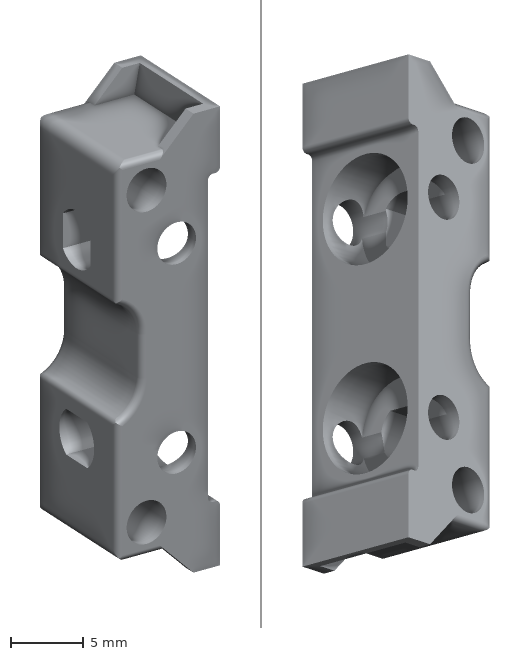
import cadquery as cq
import math

width = 10.0
depth = 8.6
height = 35.1
back_y = depth / 2
front_y = -depth / 2

body_half_height = 15.25
relief_depth = 1.0
foot_height = 5.0
relief_round = 0.4

saddle_depth = 2.0
saddle_flat_half = 1.68
saddle_radius = 3.0

side_round = 0.5
end_round = 1.0
saddle_edge_round = 0.5

wall = 1.0
lip_flat_depth = 2.2
lip_root_drop = 3.0
pocket_back_top = 0.75
pocket_back_root = 1.2

end_hole_diameter = 3.3
end_hole_inset = 2.5
end_hole_z = 12.7
inner_hole_diameter = 3.2
inner_hole_depth = 3.6
inner_hole_z = 8.0

keyed_hole_diameter = 4.4
keyed_hole_flats = 3.5
keyed_hole_z = 7.6
recess_diameter = width - 2 * wall
recess_floor_depth = 5.0


def make_block():
    """Plain block with the saddle groove across its front, all edges sharp."""
    saddle_sweep = math.acos((saddle_radius - saddle_depth) / saddle_radius)
    floor_y = front_y + saddle_depth

    def saddle_arc_point(angle):
        y = floor_y - saddle_radius * (1 - math.cos(angle))
        z = saddle_flat_half + saddle_radius * math.sin(angle)
        return y, z

    middle_y, middle_z = saddle_arc_point(saddle_sweep / 2)
    rim_z = saddle_arc_point(saddle_sweep)[1]
    return (
        cq.Workplane("YZ")
        .moveTo(back_y, -body_half_height)
        .lineTo(front_y, -body_half_height)
        .lineTo(front_y, -rim_z)
        .threePointArc((middle_y, -middle_z), (floor_y, -saddle_flat_half))
        .lineTo(floor_y, saddle_flat_half)
        .threePointArc((middle_y, middle_z), (front_y, rim_z))
        .lineTo(front_y, body_half_height)
        .lineTo(back_y, body_half_height)
        .close()
        .extrude(width / 2, both=True)
    )


def make_body():
    """Block with rounded sides, mitred against the rounded front edges."""
    block = make_block()
    rounded_sides = block.faces("<X or >X").edges("not >Y").fillet(side_round)
    rounded_ends = block.faces("<Y").edges("|X").edges(">Z or <Z").fillet(end_round)
    rounded_fronts = (
        rounded_ends.faces("<Y").edges("|X").edges("not(>Z or <Z)").fillet(saddle_edge_round)
    )
    return rounded_sides.intersect(rounded_fronts)


def make_lips():
    """Full-height back plate with 45 degree shoulders, forming the lips beyond the block."""
    top = height / 2
    root = top - lip_root_drop
    shoulder_y = back_y - lip_flat_depth
    root_y = shoulder_y - lip_root_drop
    return (
        cq.Workplane("YZ")
        .polyline([
            (back_y, -top),
            (shoulder_y, -top),
            (root_y, -root),
            (root_y, root),
            (shoulder_y, top),
            (back_y, top),
        ])
        .close()
        .extrude(width / 2, both=True)
    )


def make_lip_pocket():
    """Cutter for the upper lip: open to the front, with a sloping back wall."""
    top = height / 2
    return (
        cq.Workplane("YZ")
        .polyline([
            (back_y - pocket_back_root, body_half_height),
            (back_y - pocket_back_top, top),
            (front_y, top),
            (front_y, body_half_height),
        ])
        .close()
        .extrude(width / 2 - wall, both=True)
    )


def make_back_relief():
    """Cutter for the long shallow relief between the two feet."""
    half_length = height / 2 - foot_height
    floor_y = back_y - relief_depth
    relief = (
        cq.Workplane("XY")
        .box(width, relief_depth, 2 * half_length, centered=(True, False, True))
        .translate((0, floor_y, 0))
    )
    return relief.faces("<Y").edges("|X").fillet(relief_round)


def make_cross_hole(diameter, y, z):
    """Cutter for a round hole through the part along X."""
    return (
        cq.Workplane("YZ")
        .center(y, z)
        .circle(diameter / 2)
        .extrude(width, both=True)
    )


def make_keyed_hole(z, flats_on_sides):
    """Cutter for a double-D hole along Y with a round recess opening to the back."""
    keyed_hole = (
        cq.Workplane("XZ")
        .circle(keyed_hole_diameter / 2)
        .extrude(depth, both=True)
    )
    flats_x = keyed_hole_flats if flats_on_sides else keyed_hole_diameter
    flats_z = keyed_hole_diameter if flats_on_sides else keyed_hole_flats
    keyed_hole = keyed_hole.intersect(cq.Workplane("XY").box(flats_x, 2 * depth, flats_z))
    recess = (
        cq.Workplane("XZ", origin=(0, back_y, 0))
        .circle(recess_diameter / 2)
        .extrude(recess_floor_depth)
    )
    return keyed_hole.union(recess).translate((0, 0, z))


result = make_body().union(make_lips())
result = result.cut(make_back_relief())

foot_corners = result.faces(">Y").edges("|X").edges("not(>Z or <Z)")
result = foot_corners.fillet(relief_round)

upper_pocket = make_lip_pocket()
result = result.cut(upper_pocket)
result = result.cut(upper_pocket.mirror("XY"))

end_hole_y = front_y + end_hole_inset
inner_hole_y = back_y - inner_hole_depth
for side in (-1, 1):
    result = result.cut(make_cross_hole(end_hole_diameter, end_hole_y, side * end_hole_z))
    result = result.cut(make_cross_hole(inner_hole_diameter, inner_hole_y, side * inner_hole_z))
    result = result.cut(make_keyed_hole(side * keyed_hole_z, flats_on_sides=side > 0))